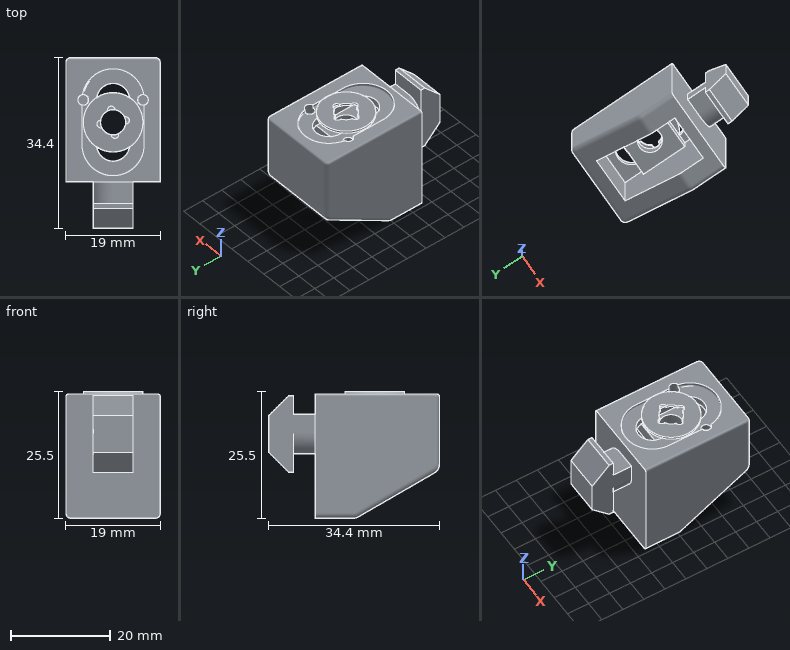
import cadquery as cq
import math


block_width = 19.0
block_depth = 25.0
block_height = 25.0
bottom_flat_length = 8.2
slope_angle = 30
slope_corner_radius = 2.0
side_edge_radius = 1.0
top_edge_radius = 0.5

total_length = 34.35
lug_width = 8.0
lug_axis_depth = 8.05
lug_head_height = 15.42
lug_head_length = 5.0
lug_head_flat = 1.0
lug_stem_length = total_length - block_depth - lug_head_length
lug_axis_z = block_height - lug_axis_depth

bore_y = 12.0
slide_travel = 9.0
recess_width = 12.5
recess_depth = 0.8
recess_floor_radius = 0.2
slot_width = 6.6
notch_diameter = 2.13
notch_offset = 6.0

washer_diameter = 12.0
washer_thickness = 0.55
washer_rise = 0.48
bore_diameter = 5.0
lobe_count = 4
lobe_radius = 0.75
lobe_start_angle = 8.5

nut_side = 10.1
nut_thickness = 3.2
nut_top_depth = 2.6
nut_top_z = block_height - nut_top_depth


def make_block_blank():
    """Block with a sloping underside, rounded everywhere but around the front face."""
    slope_run = block_depth - bottom_flat_length
    slope_top_z = slope_run * math.tan(math.radians(slope_angle))
    blank = (
        cq.Workplane("YZ")
        .polyline([
            (0, 0),
            (bottom_flat_length, 0),
            (block_depth, slope_top_z),
            (block_depth, block_height),
            (0, block_height),
        ])
        .close()
        .extrude(block_width / 2, both=True)
    )
    slope_ends = (
        blank.edges(cq.selectors.NearestToPointSelector((0, bottom_flat_length, 0)))
        .add(blank.edges(cq.selectors.NearestToPointSelector((0, block_depth, slope_top_z))))
    )
    blank = slope_ends.fillet(slope_corner_radius)

    back_edges = blank.faces("<X or >X").edges("not(<Y or >Z)")
    blank = back_edges.fillet(side_edge_radius)
    return blank.faces(">Z").edges("not <Y").fillet(top_edge_radius)


def make_lug():
    """Quarter-turn lug: a stem rounded on two opposite corners and a bevelled head."""
    corner = lug_width / 2
    arc_middle = corner * math.sqrt(0.5)
    stem = (
        cq.Workplane("XZ", origin=(0, 0, lug_axis_z))
        .moveTo(-corner, -corner)
        .lineTo(-corner, 0)
        .threePointArc((-arc_middle, arc_middle), (0, corner))
        .lineTo(corner, corner)
        .lineTo(corner, 0)
        .threePointArc((arc_middle, -arc_middle), (0, -corner))
        .close()
        .extrude(lug_stem_length)
    )

    bevel = lug_head_length - lug_head_flat
    head = (
        cq.Workplane("XY")
        .box(lug_width, lug_head_length, lug_head_height)
        .faces("<Y")
        .edges("|X")
        .chamfer(bevel)
        .translate((0, -lug_stem_length - lug_head_length / 2, lug_axis_z))
    )
    return stem.union(head)


def make_long_slot(width, bottom_z, top_z):
    """Round-ended slot along Y, centred on the bore axis."""
    return (
        cq.Workplane("XY", origin=(0, bore_y, bottom_z))
        .slot2D(slide_travel + width, width, 90)
        .extrude(top_z - bottom_z)
    )


def make_housing():
    """Block and lug in one piece, with the washer recess above and the nut pocket below."""
    recess = make_long_slot(recess_width, block_height - recess_depth, block_height)
    recess = recess.faces("<Z").edges().fillet(recess_floor_radius)
    slot = make_long_slot(slot_width, 0, block_height)

    notches = (
        cq.Workplane("XY", origin=(0, bore_y + slide_travel / 2, block_height))
        .pushPoints([(-notch_offset, 0), (notch_offset, 0)])
        .circle(notch_diameter / 2)
        .extrude(-nut_top_depth)
    )
    nut_pocket = (
        cq.Workplane("XY", origin=(0, bore_y, 0))
        .rect(nut_side, nut_side + slide_travel)
        .extrude(nut_top_z)
    )
    housing = make_block_blank().union(make_lug())
    for cutter in (recess, slot, notches, nut_pocket):
        housing = housing.cut(cutter)
    return housing.solids()


def make_washer():
    """Thin washer whose bore has small round lobes centred on its rim."""
    bottom_z = block_height + washer_rise - washer_thickness
    base = cq.Workplane("XY", origin=(0, bore_y, bottom_z))
    lobes = (
        base.polarArray(bore_diameter / 2, lobe_start_angle, 360, lobe_count)
        .circle(lobe_radius)
        .extrude(washer_thickness)
    )
    ring = base.circle(washer_diameter / 2).circle(bore_diameter / 2).extrude(washer_thickness)
    return ring.cut(lobes).solids()


def make_nut():
    """Square nut resting against the ceiling of its pocket."""
    return (
        cq.Workplane("XY", origin=(0, bore_y, nut_top_z))
        .rect(nut_side, nut_side)
        .circle(bore_diameter / 2)
        .extrude(-nut_thickness)
    )


housing = make_housing()
washer = make_washer()
nut = make_nut()

result = cq.Compound.makeCompound([housing.val(), washer.val(), nut.val()])